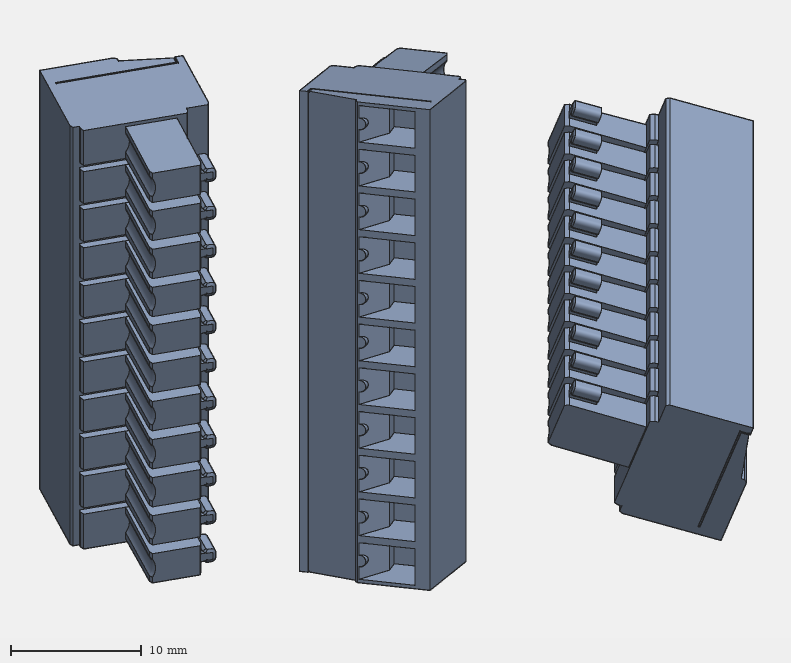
import cadquery as cq


LENGTH = 38.5
POLE_COUNT = 11
PITCH = LENGTH / POLE_COUNT
WIDTH = 11.1
REACH = 15.5

BACK_X = 8.28
BACK_BEVEL_X = 0.27
BACK_BEVEL_Y = 0.15
NOSE_TOP_Y = 5.93
NOSE_BEVEL = 0.25
SLOPE_START_X = 0.5
SLOPE_END_X = 1.35
LIP_X = 1.25
LIP_Y = 10.4

SEAM_WIDTH = 0.135
SEAM_DEPTH = 0.1
SEAM_X = 1.95
SEAM_LOW_Y = 0.7
SEAM_HIGH_Y = 10.47

RIDGE_X = 8.95
RIDGE_LOW_Y = 0.65
RIDGE_HIGH_Y = 9.25
RIDGE_BEVEL_X = 0.4
RIDGE_BEVEL_Y = 0.15

FINGER_ROOT_HEIGHT = 2.93
FINGER_TIP_HEIGHT = 2.7
FINGER_LOW_Y = 4.15
FINGER_HIGH_Y = 8.28
TIP_BEVEL_X = 0.35
TIP_BEVEL_Y = 0.15
FLUTE_WIDTH = 1.75
FLUTE_RADIUS = 2.8 / 2
FLUTE_MOUTH_RADIUS = 3.0 / 2

KEY_START_X = 12.97
KEY_END_X = 15.2
KEY_TOP_Y = 9.5
KEY_NECK_Y = 8.5
KEY_HEAD_WIDTH = 1.2
KEY_UNDERCUT = 0.25
KEY_ROUNDING = 0.4
KEY_BEVEL_X = 0.27
KEY_BEVEL_SIDE = 0.1

ENTRY_LOW_Y = 1.25
ENTRY_HIGH_Y = 5.78
ENTRY_HEIGHT = 2.93
ENTRY_DEPTH = 2.95
FLOOR_LOW_Y = 1.3
FLOOR_HIGH_Y = 4.0
FLOOR_HEIGHT = 1.77
RAMP_END_X = 1.9
PEG_DIAMETER = 0.92
PEG_Y = 5.7


def prism(outline, low_z, high_z):
    """Extrude an XY outline between two heights."""
    base = cq.Workplane("XY").workplane(offset=low_z)
    return base.polyline(outline).close().extrude(high_z - low_z)


def make_housing():
    slope_start_y = NOSE_TOP_Y + NOSE_BEVEL
    outline = [
        (0, 0),
        (BACK_X - BACK_BEVEL_X, 0),
        (BACK_X, BACK_BEVEL_Y),
        (BACK_X, WIDTH - BACK_BEVEL_Y),
        (BACK_X - BACK_BEVEL_X, WIDTH),
        (LIP_X, WIDTH),
        (LIP_X, LIP_Y),
        (SLOPE_END_X, LIP_Y),
        (SLOPE_START_X, slope_start_y),
        (NOSE_BEVEL, slope_start_y),
        (0, NOSE_TOP_Y),
    ]
    return prism(outline, 0, LENGTH)


def make_seam(low_z):
    back_x = SEAM_X + SEAM_WIDTH
    outline = [
        (SEAM_X, SEAM_LOW_Y),
        (back_x, SEAM_LOW_Y),
        (back_x, SEAM_HIGH_Y),
        (SLOPE_END_X, SEAM_HIGH_Y),
        (SLOPE_END_X, SEAM_HIGH_Y - SEAM_WIDTH),
        (SEAM_X, SEAM_HIGH_Y - SEAM_WIDTH),
    ]
    return prism(outline, low_z, low_z + SEAM_DEPTH)


def make_ridge(low_z, high_z):
    root_x = BACK_X - BACK_BEVEL_X
    outline = [
        (root_x, RIDGE_LOW_Y),
        (RIDGE_X - RIDGE_BEVEL_X, RIDGE_LOW_Y),
        (RIDGE_X, RIDGE_LOW_Y + RIDGE_BEVEL_Y),
        (RIDGE_X, RIDGE_HIGH_Y - RIDGE_BEVEL_Y),
        (RIDGE_X - RIDGE_BEVEL_X, RIDGE_HIGH_Y),
        (root_x, RIDGE_HIGH_Y),
    ]
    return prism(outline, low_z, high_z)


def make_flute():
    """Round groove along the -Y side of a finger, flared at the tip."""
    axis_y = FINGER_LOW_Y - (FLUTE_RADIUS**2 - (FLUTE_WIDTH / 2) ** 2) ** 0.5
    half_profile = [
        (RIDGE_X, 0),
        (RIDGE_X, FLUTE_RADIUS),
        (REACH - TIP_BEVEL_X, FLUTE_RADIUS),
        (REACH, FLUTE_MOUTH_RADIUS),
        (REACH, 0),
    ]
    flute = cq.Workplane("XY").polyline(half_profile).close().revolve(360, (0, 0, 0), (1, 0, 0))
    return flute.translate((0, axis_y, 0))


def make_finger():
    root = FINGER_ROOT_HEIGHT / 2
    tip = FINGER_TIP_HEIGHT / 2
    side_outline = [
        (BACK_X, FINGER_LOW_Y),
        (REACH - TIP_BEVEL_X, FINGER_LOW_Y),
        (REACH, FINGER_LOW_Y + TIP_BEVEL_Y),
        (REACH, FINGER_HIGH_Y - TIP_BEVEL_Y),
        (REACH - TIP_BEVEL_X, FINGER_HIGH_Y),
        (BACK_X, FINGER_HIGH_Y),
    ]
    taper = (
        cq.Workplane("XZ")
        .polyline([(BACK_X, -root), (REACH, -tip), (REACH, tip), (BACK_X, root)])
        .close()
        .extrude(-WIDTH)
    )
    return prism(side_outline, -root, root).intersect(taper).cut(make_flute())


def make_key():
    """Mushroom-shaped bar: a neck on the finger carrying a wider, rounded head."""
    length = KEY_END_X - KEY_START_X
    half = KEY_HEAD_WIDTH / 2
    neck = half - KEY_UNDERCUT
    flank_y = KEY_NECK_Y + KEY_UNDERCUT
    middle_y = (FINGER_LOW_Y + FINGER_HIGH_Y) / 2
    plane = cq.Workplane("YZ", origin=(KEY_START_X, 0, 0))
    head = (
        plane
        .polyline([(KEY_NECK_Y, -neck), (flank_y, -half), (KEY_TOP_Y, -half),
                   (KEY_TOP_Y, half), (flank_y, half), (KEY_NECK_Y, neck)])
        .close()
        .extrude(length)
        .edges("|X and >Y").fillet(KEY_ROUNDING)
        .faces(">X").chamfer(KEY_BEVEL_SIDE, KEY_BEVEL_X)
    )
    neck_bar = (
        plane
        .polyline([(middle_y, -neck), (flank_y, -neck), (flank_y, neck), (middle_y, neck)])
        .close()
        .extrude(length)
    )
    return head.union(neck_bar)


def make_entry():
    """Funnel with drafted walls, a sloping ramp on its +Y side and a peg left on the ramp."""
    funnel = (
        cq.Workplane("YZ")
        .center((ENTRY_LOW_Y + ENTRY_HIGH_Y) / 2, 0)
        .rect(ENTRY_HIGH_Y - ENTRY_LOW_Y, ENTRY_HEIGHT)
        .workplane(offset=ENTRY_DEPTH)
        .center((FLOOR_LOW_Y - ENTRY_LOW_Y) / 2, 0)
        .rect(ENTRY_HIGH_Y - FLOOR_LOW_Y, FLOOR_HEIGHT)
        .loft(ruled=True)
    )
    side_outline = [
        (0, ENTRY_LOW_Y),
        (0, ENTRY_HIGH_Y),
        (RAMP_END_X, FLOOR_HIGH_Y),
        (ENTRY_DEPTH, FLOOR_HIGH_Y),
        (ENTRY_DEPTH, ENTRY_LOW_Y),
    ]
    peg = (
        cq.Workplane("YZ", origin=(0, PEG_Y, 0))
        .circle(PEG_DIAMETER / 2)
        .extrude(RAMP_END_X)
    )
    return funnel.intersect(prism(side_outline, -ENTRY_HEIGHT / 2, ENTRY_HEIGHT / 2)).cut(peg)


result = make_housing()
for seam_z in (0, LENGTH - SEAM_DEPTH):
    result = result.cut(make_seam(seam_z))

entry = make_entry()
plug = make_finger().union(make_key())
for pole in range(POLE_COUNT):
    pole_z = (pole + 0.5) * PITCH
    ridge_low_z = 0 if pole == 0 else pole_z - FINGER_ROOT_HEIGHT / 2
    ridge_high_z = LENGTH if pole == POLE_COUNT - 1 else pole_z + FINGER_ROOT_HEIGHT / 2
    result = result.cut(entry.translate((0, 0, pole_z)))
    result = result.union(make_ridge(ridge_low_z, ridge_high_z))
    result = result.union(plug.translate((0, 0, pole_z)))